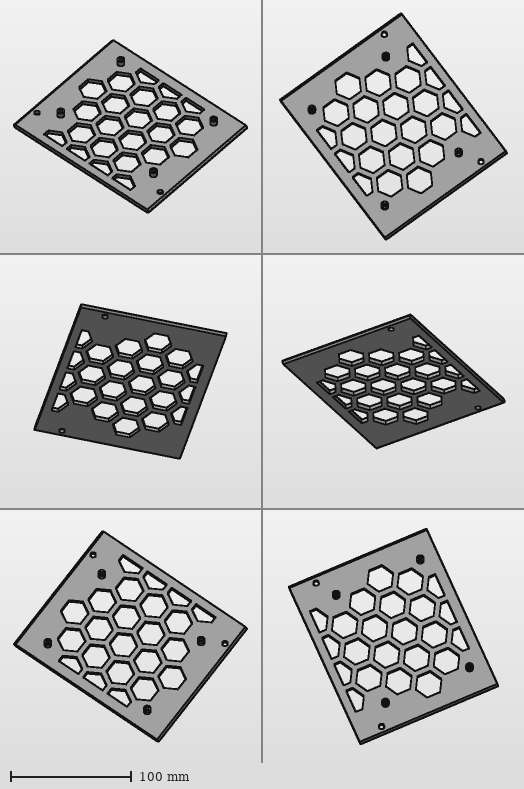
import cadquery as cq
import math

PLATE_LENGTH = 148.6
PLATE_WIDTH = 124.8
PLATE_THICKNESS = 4.0
OVERALL_HEIGHT = 9.0
EDGE_BEVEL = 1.8

HEX_ACROSS_FLATS = 20.0
HEX_PITCH = 25.0
ROW_PITCH = HEX_PITCH * math.sin(math.radians(60))
HONEYCOMB_Y = 10.0
HEXAGONS_PER_ROW = {2: 3, 1: 4, 0: 5, -1: 4, -2: 3, -3: 4}
TOP_ROW = max(HEXAGONS_PER_ROW)
BOTTOM_ROW = min(HEXAGONS_PER_ROW)

STANDOFF_DIAMETER = 6.0
STANDOFF_BORE = 2.8
STANDOFF_HEIGHT = OVERALL_HEIGHT - PLATE_THICKNESS
STANDOFF_SPACING_X = 101.8
STANDOFF_SPACING_Y = 76.2
STANDOFF_CENTRE_Y = 8.5

MOUNTING_HOLE_DIAMETER = 4.6
MOUNTING_HOLE_SPACING = 135.2
MOUNTING_HOLE_Y = -40.4


def bevelled_plate():
    """Flat plate with its two X edges bevelled above and below."""
    plate = cq.Workplane("XY").box(
        PLATE_LENGTH, PLATE_WIDTH, PLATE_THICKNESS, centered=(True, True, False)
    )
    return plate.edges("|Y").chamfer(EDGE_BEVEL)


def honeycomb_cutter():
    """Hexagonal prisms; the first and last rows are halved along their centre lines."""
    centres = [
        ((column - (count - 1) / 2) * HEX_PITCH, HONEYCOMB_Y + row * ROW_PITCH)
        for row, count in HEXAGONS_PER_ROW.items()
        for column in range(count)
    ]
    corner_radius = HEX_ACROSS_FLATS / math.sqrt(3)
    corners = [
        (
            corner_radius * math.sin(math.radians(60 * corner)),
            corner_radius * math.cos(math.radians(60 * corner)),
        )
        for corner in range(6)
    ]
    cutter = cq.Workplane("XY")
    for x, y in centres:
        outline = [(x + corner_x, y + corner_y) for corner_x, corner_y in corners]
        hexagon = cq.Workplane("XY").polyline(outline).close().extrude(PLATE_THICKNESS)
        cutter = cutter.add(hexagon)
    cutter = cutter.combine()

    window_height = (TOP_ROW - BOTTOM_ROW) * ROW_PITCH
    window_centre_y = HONEYCOMB_Y + (TOP_ROW + BOTTOM_ROW) / 2 * ROW_PITCH
    window = (
        cq.Workplane("XY")
        .center(0, window_centre_y)
        .box(PLATE_LENGTH, window_height, PLATE_THICKNESS, centered=(True, True, False))
    )
    return cutter.intersect(window)


def standoffs():
    """Four tubes standing on the plate, each bored down to the upper face."""
    return (
        cq.Workplane("XY", origin=(0, STANDOFF_CENTRE_Y, PLATE_THICKNESS))
        .rarray(STANDOFF_SPACING_X, STANDOFF_SPACING_Y, 2, 2)
        .circle(STANDOFF_DIAMETER / 2)
        .circle(STANDOFF_BORE / 2)
        .extrude(STANDOFF_HEIGHT)
    )


def mounting_holes():
    """Two round through holes, one beside each bevelled edge."""
    half_spacing = MOUNTING_HOLE_SPACING / 2
    return (
        cq.Workplane("XY")
        .pushPoints([(-half_spacing, MOUNTING_HOLE_Y), (half_spacing, MOUNTING_HOLE_Y)])
        .circle(MOUNTING_HOLE_DIAMETER / 2)
        .extrude(PLATE_THICKNESS)
    )


result = (
    bevelled_plate()
    .cut(honeycomb_cutter())
    .cut(mounting_holes())
    .union(standoffs())
)